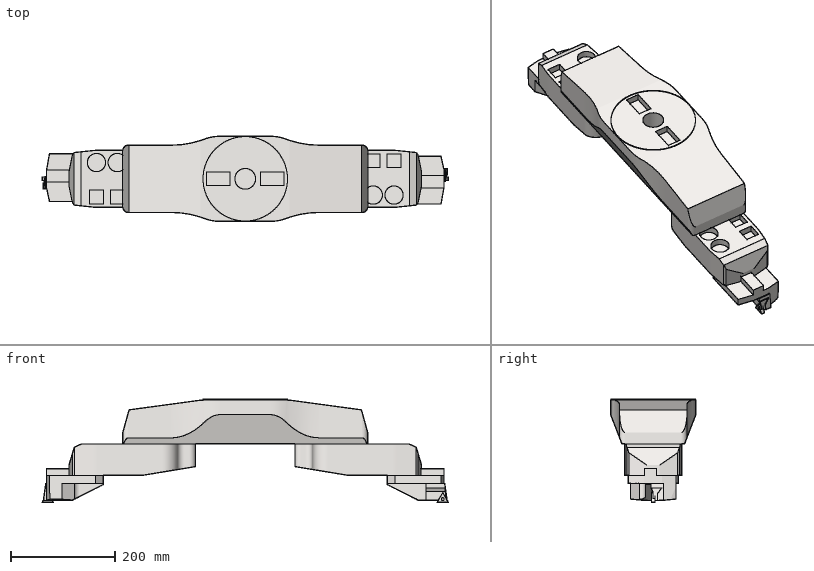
import cadquery as cq
import math


BRIDGE_HALF_LENGTH = 235.15
BRIDGE_ARM_HALF_WIDTH = 65.0
BRIDGE_HUB_HALF_WIDTH = 82.0
HUB_FLAT_HALF_LENGTH = 48.0
FLARE_MIDDLE_X = 78.4
FLARE_END_X = 141.6
BRIDGE_CORNER_RADIUS = 11.0
BRIDGE_CREST_Z = 84.0
CREST_HALF_LENGTH = 85.0
BRIDGE_TIP_X = 223.0
BRIDGE_TIP_Z = 65.5
BRIDGE_END_Z = 22.0
BEVEL_HUB_Z = 56.0
BEVEL_ARM_Z = 12.0
DISC_DIAMETER = 162.0
DISC_HEIGHT = 1.5
BORE_DIAMETER = 40.0
BORE_DEPTH = 62.5
KEY_SLOT_LENGTH = 45.0
KEY_SLOT_WIDTH = 26.5
KEY_SLOT_X = 51.5
KEY_SLOT_DEPTH = 14.0

SLIDE_HEIGHT = 60.45
SLIDE_HALF_WIDTH = 55.0
SLIDE_INNER_X = 95.0
SLIDE_INNER_Z = -44.0
SLIDE_RAMP_X = 196.5
END_ROUND_X = 107.0
NECK_X = 116.0
NECK_HALF_WIDTH = 17.0
SHOULDER_MIDDLE_X = 129.5
SHOULDER_MIDDLE_Y = 29.0
SHOULDER_X = 158.0
SIDE_TAPER_X = 284.0
TAPER_ARC_END_X = 291.0
TAPER_ARC_END_Y = 54.5
NOSE_CORNER_X = 327.5
NOSE_CORNER_Y = 51.0
NOSE_CHAMFER_X = 331.5
NOSE_CHAMFER_Y = 47.0
NOSE_X = 338.5
NOSE_HALF_WIDTH = 12.5
TOP_CHAMFER_X = 314.7
TOP_CHAMFER_END_X = 328.0
TOP_CHAMFER_Z = -6.6
NOSE_SLANT_Z = -40.5

POCKET_X = 285.5
POCKET_PITCH = 40.0
ROUND_POCKET_DIAMETER = 35.0
ROUND_POCKET_Y = 31.0
ROUND_POCKET_DEPTH = 14.0
SQUARE_POCKET_SIDE = 26.5
SQUARE_POCKET_Y = -34.7
SQUARE_POCKET_DEPTH = 14.0

PLATE_INNER_X = 272.0
PLATE_CHAMFER = 15.5
PLATE_MAX_Y = 48.0
PLATE_BOTTOM_Z = -76.0
PLATE_CORNER_X = 376.0
PLATE_FRONT_X = 381.5
PLATE_FRONT_MIN_Y = -17.0
TONGUE_TOP_Z = -47.5
TONGUE_MIN_Y = -6.0
TONGUE_MAX_Y = 17.0
BLOCK_MIN_Y = -44.0
BLOCK_INNER_X = 352.0
BLOCK_BOTTOM_Z = -106.0
FLANK_X = 327.5
FLANK_Y = -26.5
WEB_MIN_Y = -15.0
WEB_MAX_Y = 2.0
RAKE_Y = 5.0
WEB_X = 318.0
FLANK_RADIUS = 11.0
WEB_INNER_Z = -78.0
HEEL_X = 332.0
NOSE_BOTTOM_Z = -108.5
BEAK_MIN_Y = -19.5
BEAK_TOP_X = 383.0
BEAK_BOTTOM_X = 388.0
RELIEF_DEPTH = 1.5
RELIEF_TOP_Y = -16.0
RELIEF_LOW_Y = -8.0
RELIEF_LOW_Z = -96.0
CORNER_RELIEF_TOP_Z = -83.5
CORNER_RELIEF_WIDTH = 11.0
CORNER_RELIEF_SINK = 8.0
GULLET_X = 347.0
GULLET_FLOOR_Y = 1.0
GULLET_TOP_Z = -84.0
GULLET_FLOOR_Z = -91.0

INSERT_TIP_X = 390.0
INSERT_BOTTOM_Z = -112.0
INSERT_SIDE = 22.0
INSERT_HALF_THICKNESS = 3.5
SCREW_DIAMETER = 5.5
SCREW_LENGTH = 15.5

insert_height = INSERT_SIDE * math.sqrt(3) / 2
insert_middle_x = -INSERT_TIP_X + INSERT_SIDE / 2
insert_middle_z = INSERT_BOTTOM_Z + insert_height / 3


def side_prism(points, y_min, y_max):
    """Prism with an (x, z) outline, from y_min to y_max."""
    plane = cq.Workplane("XZ", origin=(0, y_max, 0))
    return plane.polyline(points).close().extrude(y_max - y_min)


def upright_box(x_min, x_max, y_min, y_max, z_min, z_max):
    """Box given by its limits along the three axes."""
    size = (x_max - x_min, y_max - y_min, z_max - z_min)
    return cq.Workplane("XY").box(*size, centered=False).translate((x_min, y_min, z_min))


def bridge_plan():
    """Waisted plan of the bridge: a wide hub flaring smoothly into two straight arms."""
    end, arm, hub = BRIDGE_HALF_LENGTH, BRIDGE_ARM_HALF_WIDTH, BRIDGE_HUB_HALF_WIDTH
    flare_share = (FLARE_END_X - FLARE_MIDDLE_X) / (FLARE_END_X - HUB_FLAT_HALF_LENGTH)
    middle = arm + (hub - arm) * flare_share
    return (
        cq.Workplane("XY")
        .moveTo(-end, arm)
        .lineTo(-FLARE_END_X, arm)
        .tangentArcPoint((-FLARE_MIDDLE_X, middle), relative=False)
        .tangentArcPoint((-HUB_FLAT_HALF_LENGTH, hub), relative=False)
        .lineTo(HUB_FLAT_HALF_LENGTH, hub)
        .tangentArcPoint((FLARE_MIDDLE_X, middle), relative=False)
        .tangentArcPoint((FLARE_END_X, arm), relative=False)
        .lineTo(end, arm)
        .lineTo(end, -arm)
        .lineTo(FLARE_END_X, -arm)
        .tangentArcPoint((FLARE_MIDDLE_X, -middle), relative=False)
        .tangentArcPoint((HUB_FLAT_HALF_LENGTH, -hub), relative=False)
        .lineTo(-HUB_FLAT_HALF_LENGTH, -hub)
        .tangentArcPoint((-FLARE_MIDDLE_X, -middle), relative=False)
        .tangentArcPoint((-FLARE_END_X, -arm), relative=False)
        .lineTo(-end, -arm)
        .close()
    )


def bridge_front_profile():
    """Front outline of the bridge: flat crest, falling arms and slanted ends."""
    right = [
        (CREST_HALF_LENGTH, BRIDGE_CREST_Z),
        (BRIDGE_TIP_X, BRIDGE_TIP_Z),
        (BRIDGE_HALF_LENGTH, BRIDGE_END_Z),
        (BRIDGE_HALF_LENGTH, 0),
    ]
    left = [(-x, z) for x, z in reversed(right)]
    return side_prism(right + left, -BRIDGE_HUB_HALF_WIDTH, BRIDGE_HUB_HALF_WIDTH)


def bridge_cross_section():
    """Cross section of the bridge, with both sides bevelled inwards towards the bottom."""
    bevel_run = (BRIDGE_HUB_HALF_WIDTH - BRIDGE_ARM_HALF_WIDTH) / (BEVEL_HUB_Z - BEVEL_ARM_Z)
    foot = BRIDGE_ARM_HALF_WIDTH - bevel_run * BEVEL_ARM_Z
    right = [
        (foot, 0),
        (BRIDGE_HUB_HALF_WIDTH, BEVEL_HUB_Z),
        (BRIDGE_HUB_HALF_WIDTH, BRIDGE_CREST_Z),
    ]
    left = [(-y, z) for y, z in reversed(right)]
    plane = cq.Workplane("YZ", origin=(-BRIDGE_HALF_LENGTH, 0, 0))
    return plane.polyline(right + left).close().extrude(2 * BRIDGE_HALF_LENGTH)


def make_bridge():
    body = bridge_plan().extrude(BRIDGE_CREST_Z)
    body = body.edges("|Z and (<X or >X)").fillet(BRIDGE_CORNER_RADIUS)
    body = body.intersect(bridge_front_profile()).intersect(bridge_cross_section())
    top_z = BRIDGE_CREST_Z + DISC_HEIGHT
    disc = cq.Workplane("XY").circle(DISC_DIAMETER / 2).extrude(DISC_HEIGHT)
    body = body.union(disc.translate((0, 0, BRIDGE_CREST_Z)))
    bore = cq.Workplane("XY", origin=(0, 0, top_z)).circle(BORE_DIAMETER / 2).extrude(-BORE_DEPTH)
    slots = (
        cq.Workplane("XY", origin=(0, 0, top_z))
        .pushPoints([(-KEY_SLOT_X, 0), (KEY_SLOT_X, 0)])
        .rect(KEY_SLOT_LENGTH, KEY_SLOT_WIDTH)
        .extrude(-KEY_SLOT_DEPTH)
    )
    return body.cut(bore).cut(slots)


def slide_plan():
    """Plan of the slide: narrow rounded inner end, curved shoulders and a faceted nose."""
    round_y = NECK_HALF_WIDTH - (END_ROUND_X - SLIDE_INNER_X)
    plan = (
        cq.Workplane("XY")
        .moveTo(-NOSE_X, NOSE_HALF_WIDTH)
        .lineTo(-NOSE_CHAMFER_X, NOSE_CHAMFER_Y)
        .lineTo(-NOSE_CORNER_X, NOSE_CORNER_Y)
        .lineTo(-TAPER_ARC_END_X, TAPER_ARC_END_Y)
        .tangentArcPoint((-SIDE_TAPER_X, SLIDE_HALF_WIDTH), relative=False)
        .lineTo(-SHOULDER_X, SLIDE_HALF_WIDTH)
        .tangentArcPoint((-SHOULDER_MIDDLE_X, SHOULDER_MIDDLE_Y), relative=False)
        .tangentArcPoint((-NECK_X, NECK_HALF_WIDTH), relative=False)
        .lineTo(-END_ROUND_X, NECK_HALF_WIDTH)
        .tangentArcPoint((-SLIDE_INNER_X, round_y), relative=False)
        .lineTo(-SLIDE_INNER_X, 0)
        .lineTo(-NOSE_X, 0)
        .close()
        .extrude(-SLIDE_HEIGHT)
    )
    return plan.union(plan.mirror("XZ"))


def make_slide():
    body = slide_plan()
    profile = side_prism(
        [
            (-SLIDE_INNER_X, 0),
            (-TOP_CHAMFER_X, 0),
            (-TOP_CHAMFER_END_X, TOP_CHAMFER_Z),
            (-NOSE_X, NOSE_SLANT_Z),
            (-NOSE_X, -SLIDE_HEIGHT),
            (-SLIDE_RAMP_X, -SLIDE_HEIGHT),
            (-SLIDE_INNER_X, SLIDE_INNER_Z),
        ],
        -SLIDE_HALF_WIDTH,
        SLIDE_HALF_WIDTH,
    )
    body = body.intersect(profile)
    for x in (-POCKET_X, -POCKET_X + POCKET_PITCH):
        round_pocket = cq.Workplane("XY").circle(ROUND_POCKET_DIAMETER / 2).extrude(-ROUND_POCKET_DEPTH)
        square_pocket = (
            cq.Workplane("XY").rect(SQUARE_POCKET_SIDE, SQUARE_POCKET_SIDE).extrude(-SQUARE_POCKET_DEPTH)
        )
        body = body.cut(round_pocket.translate((x, ROUND_POCKET_Y, 0)))
        body = body.cut(square_pocket.translate((x, SQUARE_POCKET_Y, 0)))
    return body.cut(make_tongue())


def make_tongue():
    """Key on top of the cartridge plate, which fits the groove in the slide."""
    return upright_box(
        -PLATE_FRONT_X, -PLATE_INNER_X, TONGUE_MIN_Y, TONGUE_MAX_Y, -SLIDE_HEIGHT, TONGUE_TOP_Z
    )


def make_plate():
    outline = [
        (-PLATE_FRONT_X, PLATE_FRONT_MIN_Y),
        (-PLATE_FRONT_X, TONGUE_MAX_Y),
        (-PLATE_CORNER_X, PLATE_MAX_Y),
        (-PLATE_INNER_X - PLATE_CHAMFER, PLATE_MAX_Y),
        (-PLATE_INNER_X, PLATE_MAX_Y - PLATE_CHAMFER),
        (-PLATE_INNER_X, BLOCK_MIN_Y + PLATE_CHAMFER),
        (-PLATE_INNER_X - PLATE_CHAMFER, BLOCK_MIN_Y),
        (-PLATE_CORNER_X, BLOCK_MIN_Y),
    ]
    plane = cq.Workplane("XY", origin=(0, 0, PLATE_BOTTOM_Z))
    return plane.polyline(outline).close().extrude(-SLIDE_HEIGHT - PLATE_BOTTOM_Z)


def make_block():
    """Cutter block under the plate, tapering to a thin web that runs out as a wedge."""
    block = (
        cq.Workplane("XY", origin=(0, 0, NOSE_BOTTOM_Z))
        .moveTo(-PLATE_FRONT_X, WEB_MAX_Y)
        .lineTo(-PLATE_FRONT_X, PLATE_FRONT_MIN_Y)
        .lineTo(-PLATE_CORNER_X, BLOCK_MIN_Y)
        .lineTo(-BLOCK_INNER_X, BLOCK_MIN_Y)
        .lineTo(-FLANK_X, FLANK_Y)
        .radiusArc((-WEB_X, WEB_MIN_Y), FLANK_RADIUS)
        .lineTo(-PLATE_INNER_X, WEB_MIN_Y)
        .lineTo(-PLATE_INNER_X, WEB_MAX_Y)
        .close()
        .extrude(PLATE_BOTTOM_Z - NOSE_BOTTOM_Z)
    )
    beak = make_beak()
    wedge_space = side_prism(
        [
            (-PLATE_INNER_X, WEB_INNER_Z),
            (-HEEL_X, NOSE_BOTTOM_Z),
            (-PLATE_INNER_X, NOSE_BOTTOM_Z),
        ],
        BLOCK_MIN_Y,
        RAKE_Y,
    )
    bottom_space = (
        cq.Workplane("YZ", origin=(-INSERT_TIP_X, 0, 0))
        .polyline(
            [
                (BEAK_MIN_Y, NOSE_BOTTOM_Z),
                (BLOCK_MIN_Y, BLOCK_BOTTOM_Z),
                (BLOCK_MIN_Y, NOSE_BOTTOM_Z),
            ]
        )
        .close()
        .extrude(INSERT_TIP_X - WEB_X)
    )
    gullet = (
        cq.Workplane("YZ", origin=(-INSERT_TIP_X, 0, 0))
        .polyline(
            [
                (RAKE_Y, GULLET_TOP_Z),
                (GULLET_FLOOR_Y, GULLET_FLOOR_Z),
                (GULLET_FLOOR_Y, NOSE_BOTTOM_Z),
                (RAKE_Y, NOSE_BOTTOM_Z),
            ]
        )
        .close()
        .extrude(INSERT_TIP_X - GULLET_X)
    )
    return block.union(beak).cut(wedge_space).cut(bottom_space).cut(gullet).cut(make_corner_relief())


def make_beak():
    """Overhanging front of the block, stepped back around the insert."""

    def leaning_prism(setback, y_min):
        outline = [
            (-BEAK_TOP_X + setback, PLATE_BOTTOM_Z),
            (-BEAK_BOTTOM_X + setback, NOSE_BOTTOM_Z),
            (-GULLET_X, NOSE_BOTTOM_Z),
            (-GULLET_X, PLATE_BOTTOM_Z),
        ]
        return side_prism(outline, y_min, RAKE_Y)

    relief = (
        cq.Workplane("YZ", origin=(-INSERT_TIP_X, 0, 0))
        .polyline(
            [
                (RAKE_Y, GULLET_TOP_Z),
                (RELIEF_TOP_Y, GULLET_TOP_Z),
                (RELIEF_LOW_Y, RELIEF_LOW_Z),
                (RELIEF_LOW_Y, NOSE_BOTTOM_Z),
                (RAKE_Y, NOSE_BOTTOM_Z),
            ]
        )
        .close()
        .extrude(INSERT_TIP_X - GULLET_X)
    )
    return leaning_prism(0, BEAK_MIN_Y).cut(relief).union(leaning_prism(RELIEF_DEPTH, BEAK_MIN_Y))


def make_corner_relief():
    """Shallow slanted facet cut into the lower outer corner of the block's front face."""
    face_slope = (PLATE_FRONT_X - PLATE_CORNER_X) / (PLATE_FRONT_MIN_Y - BLOCK_MIN_Y)
    top = cq.Vector(-PLATE_CORNER_X, BLOCK_MIN_Y, CORNER_RELIEF_TOP_Z)
    low_x = -PLATE_CORNER_X - CORNER_RELIEF_WIDTH * face_slope
    low = cq.Vector(low_x, BLOCK_MIN_Y + CORNER_RELIEF_WIDTH, NOSE_BOTTOM_Z)
    along = low - top
    plane = cq.Plane(origin=top, xDir=(1, 0, 0), normal=along)
    reach = 2 * CORNER_RELIEF_WIDTH
    return (
        cq.Workplane(plane)
        .polyline([(0, 0), (CORNER_RELIEF_SINK, reach), (-reach, reach), (-reach, 0)])
        .close()
        .extrude(along.Length)
    )


def make_cartridge():
    body = make_plate().union(make_tongue()).union(make_block())
    return body.cut(insert_blank()).cut(make_screw())


def insert_blank():
    """Solid triangular insert without its screw hole."""
    triangle = [
        (-INSERT_TIP_X, INSERT_BOTTOM_Z),
        (-INSERT_TIP_X + INSERT_SIDE, INSERT_BOTTOM_Z),
        (insert_middle_x, INSERT_BOTTOM_Z + insert_height),
    ]
    return side_prism(triangle, -INSERT_HALF_THICKNESS, INSERT_HALF_THICKNESS)


def make_insert():
    return insert_blank().cut(make_screw())


def make_screw():
    origin = (insert_middle_x, INSERT_HALF_THICKNESS, insert_middle_z)
    return cq.Workplane("XZ", origin=origin).circle(SCREW_DIAMETER / 2).extrude(SCREW_LENGTH)


bodies = [make_bridge().val()]
for turn in (0, 180):
    for make_body in (make_slide, make_cartridge, make_insert, make_screw):
        bodies.append(make_body().rotate((0, 0, 0), (0, 0, 1), turn).val())

result = cq.Compound.makeCompound(bodies)